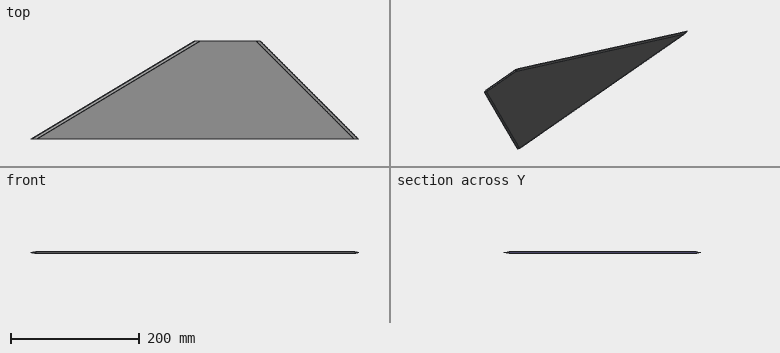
import cadquery as cq
import math

length = 508.0
depth = 152.5
thickness = 3.15
left_run = 254.0
right_run = 152.5
bevel_width = 4.5


def bevel_offset(run):
    """Shift along X that moves a slanted side inward by the bevel width."""
    return bevel_width * math.hypot(run, depth) / depth


def section(y, left, right):
    """Hexagonal XZ section with a sharp mid-height edge at each end."""
    half = thickness / 2
    flat_left = left + bevel_offset(left_run)
    flat_right = right - bevel_offset(right_run)
    points = [
        (left, y, 0),
        (flat_left, y, half),
        (flat_right, y, half),
        (right, y, 0),
        (flat_right, y, -half),
        (flat_left, y, -half),
    ]
    return cq.Wire.makePolygon([cq.Vector(*p) for p in points], close=True)


front_section = section(0, 0, length)
rear_section = section(depth, left_run, length - right_run)
result = cq.Workplane(obj=cq.Solid.makeLoft([front_section, rear_section], True))